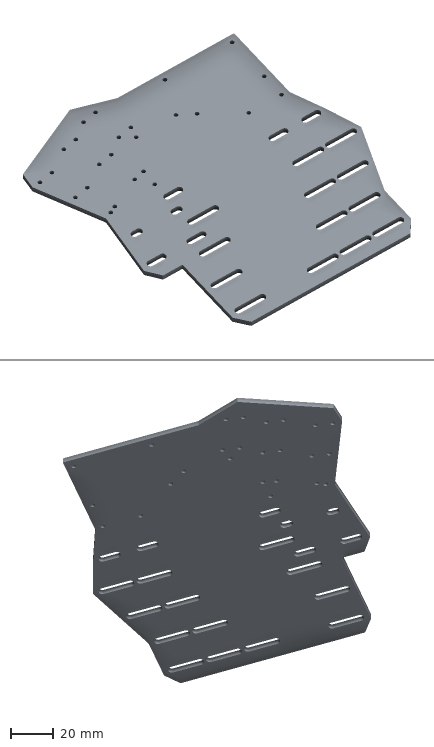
import cadquery as cq
import math

thickness = 3.0

pitch = 19.05
bottom_row = 0.0
top_row = 80.25
upper_row = top_row - pitch
middle_row = upper_row - pitch
column_stagger = 7.0

hole_diameter = 2.2
slot_width = 3.65
long_slot = 17.7
medium_slot = 10.7
short_slot = 6.2

thumb_row_step = 23.2
thumb_hole_y = -0.4
thumb_slot_top = 1.6

inner_pair_y = 9.5

controller_width = 25.75
controller_height = 39.05
controller_left = -39.6
controller_top = top_row
controller_margin = 4.05

cluster_tilt = math.radians(25)
cluster_x = -42.6
cluster_y = 2.95
cluster_rows = [0.0, pitch, pitch + thumb_row_step]
companion_along = -2.0
companion_down = 8.0

plate_length = 155.53
plate_width = 147.04
peak_x = 2 * pitch
peak_y = 99.0
right_margin = 9.3
right_edge = 5 * pitch + right_margin
left_tip_x = right_edge - plate_length
bottom_tip_y = peak_y - plate_width
left_edge = controller_left - controller_margin
top_left_edge = controller_top + controller_margin
top_right_edge = peak_y - 2 * column_stagger
lower_right_edge = -18.8
corner_cut_x = 7.2
corner_cut_y = 5.65
notch_x = 3 * pitch
shoulder_x = 1.0
waist_y = 16.4

lobe_right_y = -30.1
lobe_right_bottom = (49.6, -35.7)
lobe_inside_corner = (13.1, -31.3)
bottom_tip_x = -22.8
lobe_left_bottom = (-31.9, -47.0)
left_tip_y = -5.9


def column_x(column):
    return column * pitch


def cluster_point(along, down):
    x = cluster_x + along * math.cos(cluster_tilt) + down * math.sin(cluster_tilt)
    y = cluster_y + along * math.sin(cluster_tilt) - down * math.cos(cluster_tilt)
    return (x, y)


def make_plate():
    outline = [
        (left_edge, top_left_edge),
        (shoulder_x, top_left_edge),
        (peak_x - pitch, peak_y - column_stagger),
        (peak_x, peak_y),
        (peak_x + 2 * pitch, top_right_edge),
        (right_edge - corner_cut_x, top_right_edge),
        (right_edge, top_right_edge - corner_cut_y),
        (right_edge, lower_right_edge + corner_cut_y),
        (right_edge - corner_cut_x, lower_right_edge),
        (notch_x, lower_right_edge),
        (notch_x, lobe_right_y),
        lobe_right_bottom,
        lobe_inside_corner,
        (bottom_tip_x, bottom_tip_y),
        lobe_left_bottom,
        (left_tip_x, left_tip_y),
        (left_edge, waist_y),
    ]
    return cq.Workplane("XY").polyline(outline).close().extrude(thickness)


def hole_points():
    main_column = [(column_x(0), y) for y in (bottom_row, upper_row, top_row)]
    inner_pair = [(column_x(-1), inner_pair_y + step) for step in (0.0, thumb_row_step)]
    thumb_pair = [(column_x(0.5), thumb_hole_y - step) for step in (0.0, thumb_row_step)]
    controller = [
        (controller_left + dx, controller_top - dy)
        for dx in (0.0, controller_width)
        for dy in (0.0, controller_height)
    ]
    return main_column + inner_pair + thumb_pair + controller


def cluster_hole_points():
    points = []
    for down in cluster_rows:
        for column in range(2):
            points.append(cluster_point(column * pitch, down))
            points.append(cluster_point(column * pitch + companion_along, down + companion_down))
    for down in cluster_rows[1:]:
        points.append(cluster_point(2 * pitch + companion_along, down + companion_down))
    return points


def cut_holes(plate):
    points = hole_points() + cluster_hole_points()
    return plate.cut(cq.Workplane("XY").pushPoints(points).circle(hole_diameter / 2).extrude(thickness))


def cut_slots(plate, column, tops, length):
    """Cut one slot along Y below each of the given top ends."""
    centres = [(column_x(column), top - length / 2) for top in tops]
    slots = cq.Workplane("XY").pushPoints(centres).slot2D(length, slot_width, 90).extrude(thickness)
    return plate.cut(slots)


def grid_slot_tops(rows, offset):
    return [row + offset + long_slot / 2 for row in rows]


main_rows = [bottom_row, upper_row, top_row]
last_column_rows = [bottom_row, middle_row, upper_row, top_row]
thumb_tops = [thumb_slot_top, thumb_slot_top - thumb_row_step]

result = cut_holes(make_plate())
result = cut_slots(result, 1, grid_slot_tops(main_rows, 0.0), medium_slot)
result = cut_slots(result, 2, grid_slot_tops(main_rows, column_stagger), long_slot)
result = cut_slots(result, 3, grid_slot_tops(main_rows, 0.0), long_slot)
result = cut_slots(result, 4, grid_slot_tops(main_rows, -column_stagger), long_slot)
result = cut_slots(result, 5, grid_slot_tops(last_column_rows, -column_stagger), long_slot)
result = cut_slots(result, 1.5, thumb_tops, short_slot)
result = cut_slots(result, 2.5, thumb_tops, medium_slot)